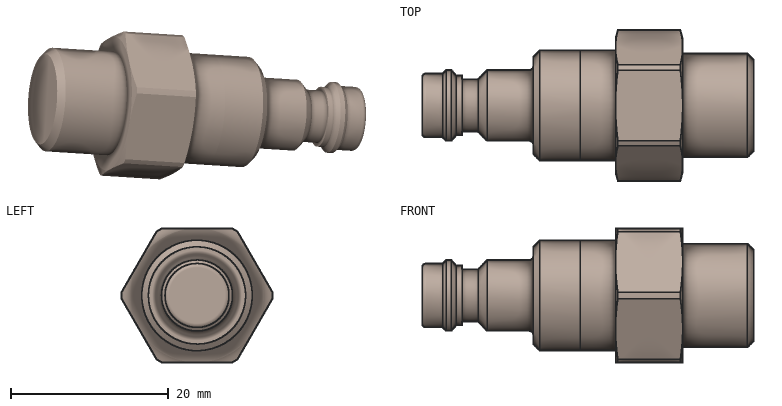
import cadquery as cq
import math

total_length = 42.05
collar_start = 2.6
collar_flat_start = 3.05
collar_flat_end = 3.7
lip_start = 4.35
lip_end = 5.1
neck_end = 7.1
shank_start = 8.25
shoulder_x = 14.1
joint_x = 20.0
hex_start = 24.5
hex_length = 8.5
hex_end = hex_start + hex_length

tip_diameter = 8.1
shank_diameter = 9.0
lip_diameter = 7.6
neck_diameter = 6.65
barrel_diameter = 14.0
stub_diameter = 13.15

across_flats = 17.0
corner_diameter = 19.15
hex_chamfer_angle = 15.0

tip_round = 0.5
root_round = 0.5
barrel_chamfer = 0.85
stub_chamfer = 0.85


def revolve_about_x(profile):
    return profile.close().revolve(360, (0, 0, 0), (1, 0, 0))


def make_plug():
    """Turned plug: rounded tip, collar, neck, shank and front part of the barrel."""
    tip_radius = tip_diameter / 2
    shank_radius = shank_diameter / 2
    lip_radius = lip_diameter / 2
    neck_radius = neck_diameter / 2
    barrel_radius = barrel_diameter / 2
    arc_offset = math.sqrt(0.5)
    tip_arc_middle = (
        tip_round * (1 - arc_offset),
        tip_radius - tip_round * (1 - arc_offset),
    )
    root_arc_middle = (
        shoulder_x - root_round * (1 - arc_offset),
        shank_radius + root_round * (1 - arc_offset),
    )
    root_arc_start = (shoulder_x - root_round, shank_radius)
    profile = (
        cq.Workplane("XY")
        .lineTo(0, tip_radius - tip_round)
        .threePointArc(tip_arc_middle, (tip_round, tip_radius))
        .lineTo(collar_start, tip_radius)
        .lineTo(collar_flat_start, shank_radius)
        .lineTo(collar_flat_end, shank_radius)
        .lineTo(lip_start, lip_radius)
        .lineTo(lip_end, lip_radius)
        .lineTo(lip_end, neck_radius)
        .lineTo(neck_end, neck_radius)
        .lineTo(shank_start, shank_radius)
        .lineTo(*root_arc_start)
        .threePointArc(root_arc_middle, (shoulder_x, shank_radius + root_round))
        .lineTo(shoulder_x, barrel_radius - barrel_chamfer)
        .lineTo(shoulder_x + barrel_chamfer, barrel_radius)
        .lineTo(joint_x, barrel_radius)
        .lineTo(joint_x, 0)
    )
    return revolve_about_x(profile)


def make_hexagon():
    """Hexagon with flats facing +Z and -Z, corners turned and both ends chamfered."""
    flat_radius = across_flats / 2
    corner_radius = corner_diameter / 2
    chamfer_depth = (corner_radius - flat_radius) * math.tan(math.radians(hex_chamfer_angle))
    prism = (
        cq.Workplane("YZ", origin=(hex_start, 0, 0))
        .polygon(6, across_flats, circumscribed=True)
        .extrude(hex_length)
        .rotate((0, 0, 0), (1, 0, 0), 30)
    )
    envelope = revolve_about_x(
        cq.Workplane("XY")
        .moveTo(hex_start, 0)
        .lineTo(hex_start, flat_radius)
        .lineTo(hex_start + chamfer_depth, corner_radius)
        .lineTo(hex_end - chamfer_depth, corner_radius)
        .lineTo(hex_end, flat_radius)
        .lineTo(hex_end, 0)
    )
    return prism.intersect(envelope)


def make_adapter():
    """Rear part of the barrel, hexagon and chamfered stub in one piece."""
    barrel = (
        cq.Workplane("YZ", origin=(joint_x, 0, 0))
        .circle(barrel_diameter / 2)
        .extrude(hex_start - joint_x)
    )
    stub = (
        cq.Workplane("YZ", origin=(hex_end, 0, 0))
        .circle(stub_diameter / 2)
        .extrude(total_length - hex_end)
        .faces(">X")
        .chamfer(stub_chamfer)
    )
    return make_hexagon().union(barrel).union(stub).solids()


plug = make_plug()
adapter = make_adapter()

result = cq.Compound.makeCompound([plug.val(), adapter.val()])